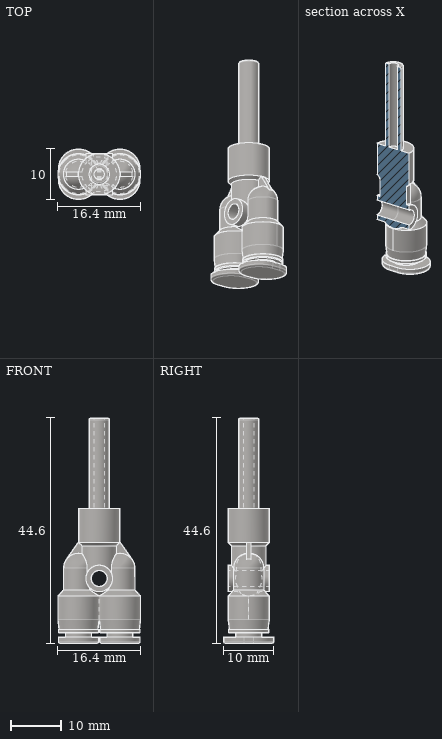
import cadquery as cq
import math

total_height = 44.6
body_radius = 4.1
leg_offset = body_radius

stem_radius = 2.0
stem_bore_radius = 1.03
stem_round = 0.3

collar_top = 26.7
collar_bottom = 20.0
neck_radius = 3.45
collar_chamfer = body_radius - neck_radius

eyelet_height = 12.85
eyelet_radius = 2.65
eyelet_hole_radius = 1.55

leg_radius = 3.0
dome_base = 14.9
dome_top = dome_base + leg_radius
shoulder_top = 10.55
shoulder_bottom = 9.35
taper_top = 4.7
taper_radius = 3.9
lip_top = 2.75
lip_radius = 4.0
lip_bottom = 2.0
lip_chamfer = 0.2

button_neck_radius = 2.6
button_width = 8.05
button_length = 10.0
button_thickness = 1.2
button_round = 0.4

rib_thickness = 1.0
rib_top_reach = 4.2
rib_foot_reach = leg_offset + 2.4
rib_foot_height = dome_base + math.sqrt(leg_radius**2 - (rib_foot_reach - leg_offset) ** 2)


def make_stem_cylinder(radius):
    """Cylinder from the collar's top face to the top of the fitting."""
    return (
        cq.Workplane("XY")
        .workplane(offset=collar_top)
        .circle(radius)
        .extrude(total_height - collar_top)
    )


def make_stem():
    """Stem above the collar with a rounded top edge."""
    return make_stem_cylinder(stem_radius).faces(">Z").fillet(stem_round)


def make_trunk():
    """Collar and neck, closed by a hemisphere at eyelet height, turned about the central axis."""
    ball_middle = neck_radius * math.sqrt(0.5)
    return (
        cq.Workplane("XZ")
        .moveTo(0, collar_top)
        .lineTo(body_radius, collar_top)
        .lineTo(body_radius, collar_bottom)
        .lineTo(neck_radius, collar_bottom - collar_chamfer)
        .lineTo(neck_radius, eyelet_height)
        .threePointArc((ball_middle, eyelet_height - ball_middle), (0, eyelet_height - neck_radius))
        .close()
        .revolve(360, (0, 0, 0), (0, 1, 0))
    )


def make_leg():
    """Domed leg, socket and the neck of its release button, turned about the leg's own axis."""
    dome_middle = leg_radius * math.sqrt(0.5)
    return (
        cq.Workplane("XZ")
        .moveTo(0, dome_top)
        .threePointArc((dome_middle, dome_base + dome_middle), (leg_radius, dome_base))
        .lineTo(leg_radius, shoulder_top)
        .lineTo(body_radius, shoulder_bottom)
        .lineTo(body_radius, taper_top)
        .lineTo(taper_radius, lip_top)
        .lineTo(lip_radius, lip_top)
        .lineTo(lip_radius, lip_bottom + lip_chamfer)
        .lineTo(lip_radius - lip_chamfer, lip_bottom)
        .lineTo(button_neck_radius, lip_bottom)
        .lineTo(button_neck_radius, 0)
        .lineTo(0, 0)
        .close()
        .revolve(360, (0, 0, 0), (0, 1, 0))
    )


def make_button():
    """Oval release button with a rounded bottom edge."""
    button = cq.Workplane("XY").slot2D(button_length, button_width, 90).extrude(button_thickness)
    return button.faces("<Z").fillet(button_round)


def make_rib():
    """Sloping web from the collar's lower edge to the dome on the +X side."""
    return (
        cq.Workplane("XZ")
        .moveTo(0, collar_bottom)
        .lineTo(rib_top_reach, collar_bottom)
        .lineTo(rib_foot_reach, rib_foot_height)
        .lineTo(leg_offset, dome_base)
        .lineTo(0, dome_base)
        .close()
        .extrude(rib_thickness / 2, both=True)
    )


def make_eyelet_cylinder(radius):
    """Cylinder along Y, as deep as the collar is wide."""
    return (
        cq.Workplane("XZ")
        .center(0, eyelet_height)
        .circle(radius)
        .extrude(body_radius, both=True)
    )


half = make_leg().union(make_button()).translate((leg_offset, 0, 0)).union(make_rib())

fitting = make_trunk().union(make_stem()).union(make_eyelet_cylinder(eyelet_radius))
fitting = fitting.union(half).union(half.mirror("YZ"))

result = (
    fitting
    .cut(make_eyelet_cylinder(eyelet_hole_radius))
    .cut(make_stem_cylinder(stem_bore_radius))
)